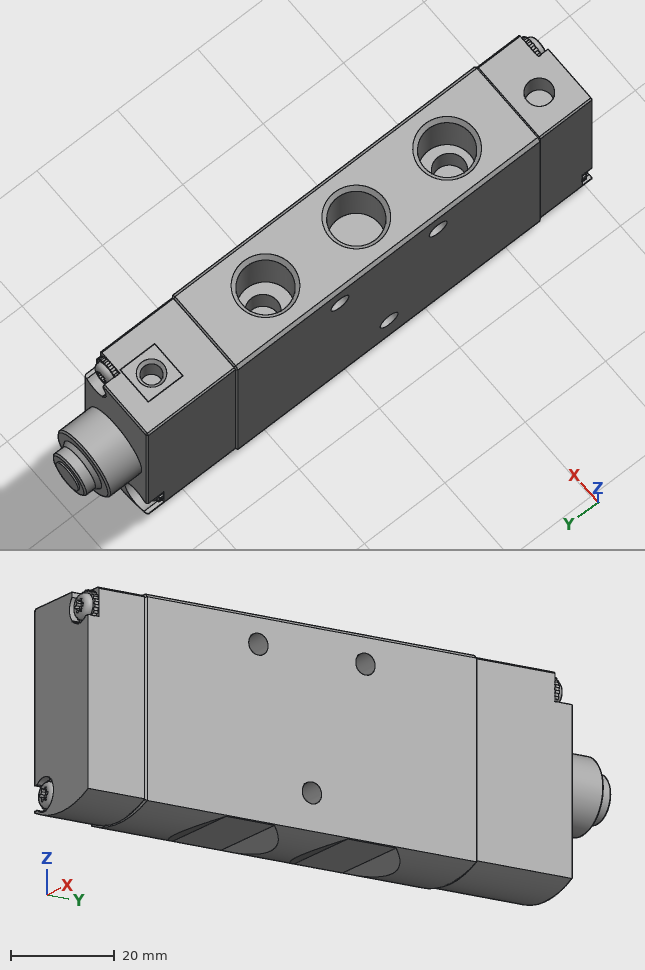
import cadquery as cq


BODY_WIDTH = 20.0
BODY_HEIGHT = 43.8
BODY_LENGTH = 75.8
BODY_BELLY_DROP = 2.0
BODY_EDGE_CHAMFER = 0.7
BODY_END_CHAMFER = 0.4

PORT_PITCH = 22.5
PORT_DIAMETER = 11.4
PORT_MOUTH_DIAMETER = 13.2
PORT_DEPTH = 12.3
PASSAGE_DIAMETER = 7.0
PASSAGE_OFFSET = 0.6
PASSAGE_DEPTH = 6.1

MOUNT_HOLE_DIAMETER = 4.4
UPPER_MOUNT_SPACING = 24.4
UPPER_MOUNT_Z = 37.6
LOWER_MOUNT_Z = 9.7

BELLY_CUT_SPACING = 27.7
BELLY_CUT_DEPTH = 1.8
BELLY_CUT_TOP_LENGTH = 11.0
BELLY_CUT_MOUTH_LENGTH = 21.3

CAP_STEP = 0.4
CAP_WIDTH = BODY_WIDTH - 2 * CAP_STEP
CAP_BOTTOM = 0.1
CAP_BELLY_DROP = 2.2
CAP_TOP = BODY_HEIGHT - CAP_STEP
CAP_EDGE_CHAMFER = 0.4
REAR_FACE_CHAMFER = 0.4
FRONT_CAP_LENGTH = 12.9
REAR_CAP_LENGTH = 22.0
BODY_FRONT = -BODY_LENGTH / 2
BODY_REAR = BODY_LENGTH / 2
FRONT_FACE = BODY_FRONT - FRONT_CAP_LENGTH
REAR_FACE = BODY_REAR + REAR_CAP_LENGTH

FRONT_PORT_DIAMETER = 5.9
FRONT_PORT_X = -2.1
FRONT_PORT_Y = FRONT_FACE + 7.0
FRONT_PORT_DEPTH = 6.1

PILOT_PORT_Y = REAR_FACE - 9.0
PILOT_PAD_SIDE = 8.6
PILOT_PAD_DEPTH = 0.2
PILOT_DIAMETER = 4.4
PILOT_MOUTH_DIAMETER = 5.9
PILOT_DEPTH = 6.1

SCREW_X = 6.4
UPPER_SCREW_Z = 40.0
LOWER_SCREW_Z = 5.3
SCREW_PLACES = [(SCREW_X, UPPER_SCREW_Z), (-SCREW_X, LOWER_SCREW_Z)]
POCKET_DIAMETER = 7.0
POCKET_SLOT_HALF_WIDTH = 2.6
FRONT_POCKET_DEPTH = 2.5
REAR_POCKET_DEPTH = 4.2
FLANGE_DIAMETER = 6.7
FLANGE_THICKNESS = 1.0
FLANGE_NOTCH_COUNT = 18
FLANGE_NOTCH_DIAMETER = 0.6
DOME_DIAMETER = 5.4
DOME_HEIGHT = 1.5
DOME_ROUNDING = 1.1
SOCKET_DIAMETER = 2.1
SOCKET_TIP_DIAMETER = 3.0
SOCKET_LOBE_COUNT = 6
SOCKET_LOBE_DIAMETER = 0.6
SOCKET_DEPTH = 1.0

CONNECTOR_Z = 22.5
BARREL_DIAMETER = 15.9
BARREL_LENGTH = 8.1
BARREL_CHAMFER = 0.4
COLLAR_DIAMETER = 11.4
COLLAR_LENGTH = 1.0
NECK_DIAMETER = 10.0
NECK_LENGTH = 2.6
NECK_CHAMFER = 0.4
TIP_DIAMETER = 6.7
TIP_LENGTH = 0.4


def cross_section_bar(width, bottom, belly_drop, top, front, length):
    """Bar along Y with flat sides and top and an arched underside."""
    half = width / 2
    shoulder = bottom + belly_drop
    return (
        cq.Workplane("XZ", origin=(0, front + length, 0))
        .moveTo(-half, shoulder)
        .lineTo(-half, top)
        .lineTo(half, top)
        .lineTo(half, shoulder)
        .threePointArc((0, bottom), (-half, shoulder))
        .close()
        .extrude(length)
    )


def drill_down(x, y, top, diameter, depth):
    """Vertical cylinder reaching down from the given height."""
    return cq.Workplane("XY", origin=(x, y, top)).circle(diameter / 2).extrude(-depth)


def countersink_down(x, y, top, mouth_diameter, diameter):
    """45 degree cone that opens a vertical hole at its mouth."""
    depth = (mouth_diameter - diameter) / 2
    down = cq.Vector(0, 0, -1)
    cone = cq.Solid.makeCone(mouth_diameter / 2, diameter / 2, depth, cq.Vector(x, y, top), down)
    return cq.Workplane(cone)


def make_body():
    body = cross_section_bar(BODY_WIDTH, 0, BODY_BELLY_DROP, BODY_HEIGHT, BODY_FRONT, BODY_LENGTH)
    body = body.faces(">Z").edges("|Y").chamfer(BODY_EDGE_CHAMFER)
    body = body.faces("<Y or >Y").edges().chamfer(BODY_END_CHAMFER)

    for step in (-1, 0, 1):
        y = step * PORT_PITCH
        body = body.cut(drill_down(0, y, BODY_HEIGHT, PORT_DIAMETER, PORT_DEPTH))
        body = body.cut(countersink_down(0, y, BODY_HEIGHT, PORT_MOUTH_DIAMETER, PORT_DIAMETER))
        if step != 0:
            passage_y = y + step * PASSAGE_OFFSET
            port_floor = BODY_HEIGHT - PORT_DEPTH
            body = body.cut(drill_down(0, passage_y, port_floor, PASSAGE_DIAMETER, PASSAGE_DEPTH))

    mount_places = [
        (-UPPER_MOUNT_SPACING / 2, UPPER_MOUNT_Z),
        (UPPER_MOUNT_SPACING / 2, UPPER_MOUNT_Z),
        (0, LOWER_MOUNT_Z),
    ]
    mount_holes = (
        cq.Workplane("YZ", origin=(-BODY_WIDTH / 2, 0, 0))
        .pushPoints(mount_places)
        .circle(MOUNT_HOLE_DIAMETER / 2)
        .extrude(BODY_WIDTH)
    )
    body = body.cut(mount_holes)

    for side in (-1, 1):
        y = side * BELLY_CUT_SPACING / 2
        flat = (
            cq.Workplane("YZ", origin=(-BODY_WIDTH / 2, 0, 0))
            .moveTo(y - BELLY_CUT_MOUTH_LENGTH / 2, 0)
            .lineTo(y - BELLY_CUT_TOP_LENGTH / 2, BELLY_CUT_DEPTH)
            .lineTo(y + BELLY_CUT_TOP_LENGTH / 2, BELLY_CUT_DEPTH)
            .lineTo(y + BELLY_CUT_MOUTH_LENGTH / 2, 0)
            .close()
            .extrude(BODY_WIDTH)
        )
        body = body.cut(flat)
    return body


def outward_plane(y, direction):
    """Plane at the given Y facing rear (+1) or front (-1); local x is X, local y is -direction * Z."""
    return cq.Workplane(cq.Plane(origin=(0, y, 0), xDir=(1, 0, 0), normal=(0, direction, 0)))


def box_between(x_range, y_range, z_range):
    size = [high - low for low, high in (x_range, y_range, z_range)]
    corner = (x_range[0], y_range[0], z_range[0])
    return cq.Workplane(cq.Solid.makeBox(*size, cq.Vector(*corner)))


def screw_pockets(face, depth, direction):
    """Round pockets sunk into a cap's end face, open to the nearest outer sides."""
    y_range = sorted((face, face - direction * depth))
    half = POCKET_SLOT_HALF_WIDTH
    upper_slot = box_between(
        (SCREW_X - half, BODY_WIDTH / 2), y_range, (UPPER_SCREW_Z - half, BODY_HEIGHT)
    )
    lower_slot = box_between(
        (-BODY_WIDTH / 2, -SCREW_X), y_range, (LOWER_SCREW_Z - half, LOWER_SCREW_Z + half)
    )
    pockets = upper_slot.union(lower_slot)
    for x, z in SCREW_PLACES:
        round_pocket = outward_plane(face, direction).center(x, -direction * z)
        pockets = pockets.union(round_pocket.circle(POCKET_DIAMETER / 2).extrude(-depth))
    return pockets


def screw_head(x, z, floor, direction):
    """Domed head on a notched flange, with a six-lobed socket, standing on a pocket floor."""
    base = outward_plane(floor, direction).center(x, -direction * z)
    flange = base.circle(FLANGE_DIAMETER / 2).extrude(FLANGE_THICKNESS)
    notches = (
        base.polarArray(FLANGE_DIAMETER / 2, 0, 360, FLANGE_NOTCH_COUNT)
        .circle(FLANGE_NOTCH_DIAMETER / 2)
        .extrude(FLANGE_THICKNESS)
    )
    top_face = ">Y" if direction > 0 else "<Y"
    dome = (
        base.circle(DOME_DIAMETER / 2)
        .extrude(FLANGE_THICKNESS + DOME_HEIGHT)
        .faces(top_face)
        .edges()
        .fillet(DOME_ROUNDING)
    )
    socket_start = base.workplane(offset=FLANGE_THICKNESS + DOME_HEIGHT - SOCKET_DEPTH)
    socket = socket_start.circle(SOCKET_DIAMETER / 2).extrude(SOCKET_DEPTH)
    lobes = (
        socket_start.polarArray(
            (SOCKET_TIP_DIAMETER - SOCKET_LOBE_DIAMETER) / 2, 0, 360, SOCKET_LOBE_COUNT
        )
        .circle(SOCKET_LOBE_DIAMETER / 2)
        .extrude(SOCKET_DEPTH)
    )
    return flange.cut(notches).union(dome).cut(socket).cut(lobes)


def make_cap_blank(start, length):
    """Plain cap with its long top edges broken."""
    cap = cross_section_bar(CAP_WIDTH, CAP_BOTTOM, CAP_BELLY_DROP, CAP_TOP, start, length)
    return cap.faces(">Z").edges("|Y").chamfer(CAP_EDGE_CHAMFER)


def add_screws(cap, face, pocket_depth, direction):
    """Sink the two screw pockets into a cap and place the heads on their floors."""
    cap = cap.cut(screw_pockets(face, pocket_depth, direction))
    floor = face - direction * pocket_depth
    for x, z in SCREW_PLACES:
        cap = cap.union(screw_head(x, z, floor, direction))
    return cap


def make_front_cap():
    cap = make_cap_blank(FRONT_FACE, FRONT_CAP_LENGTH)
    cap = add_screws(cap, FRONT_FACE, FRONT_POCKET_DEPTH, -1)
    return cap.cut(
        drill_down(FRONT_PORT_X, FRONT_PORT_Y, CAP_TOP, FRONT_PORT_DIAMETER, FRONT_PORT_DEPTH)
    )


def make_rear_cap():
    cap = make_cap_blank(BODY_REAR, REAR_CAP_LENGTH)
    cap = cap.faces(">Y").edges().chamfer(REAR_FACE_CHAMFER)
    cap = add_screws(cap, REAR_FACE, REAR_POCKET_DEPTH, 1)

    seat_z = CAP_TOP - PILOT_PAD_DEPTH
    seat = (
        cq.Workplane("XY", origin=(0, PILOT_PORT_Y, seat_z))
        .rect(PILOT_PAD_SIDE, PILOT_PAD_SIDE)
        .extrude(PILOT_PAD_DEPTH)
    )
    cap = cap.cut(seat)
    cap = cap.cut(drill_down(0, PILOT_PORT_Y, seat_z, PILOT_DIAMETER, PILOT_DEPTH))
    return cap.cut(countersink_down(0, PILOT_PORT_Y, seat_z, PILOT_MOUTH_DIAMETER, PILOT_DIAMETER))


def make_connector():
    """Turned connector standing on the rear cap's end face."""
    barrel_end = REAR_FACE + BARREL_LENGTH
    collar_end = barrel_end + COLLAR_LENGTH
    neck_end = collar_end + NECK_LENGTH
    tip_end = neck_end + TIP_LENGTH
    barrel_radius = BARREL_DIAMETER / 2
    neck_radius = NECK_DIAMETER / 2
    outline = [
        (0, REAR_FACE),
        (barrel_radius, REAR_FACE),
        (barrel_radius, barrel_end - BARREL_CHAMFER),
        (barrel_radius - BARREL_CHAMFER, barrel_end),
        (COLLAR_DIAMETER / 2, barrel_end),
        (neck_radius, collar_end),
        (neck_radius, neck_end - NECK_CHAMFER),
        (neck_radius - NECK_CHAMFER, neck_end),
        (TIP_DIAMETER / 2, neck_end),
        (TIP_DIAMETER / 2, tip_end),
        (0, tip_end),
    ]
    connector = cq.Workplane("XY").polyline(outline).close().revolve(360, (0, 0, 0), (0, 1, 0))
    return connector.translate((0, 0, CONNECTOR_Z))


body = make_body()
front_cap = make_front_cap()
rear_cap = make_rear_cap()
connector = make_connector()

result = cq.Compound.makeCompound([body.val(), front_cap.val(), rear_cap.val(), connector.val()])